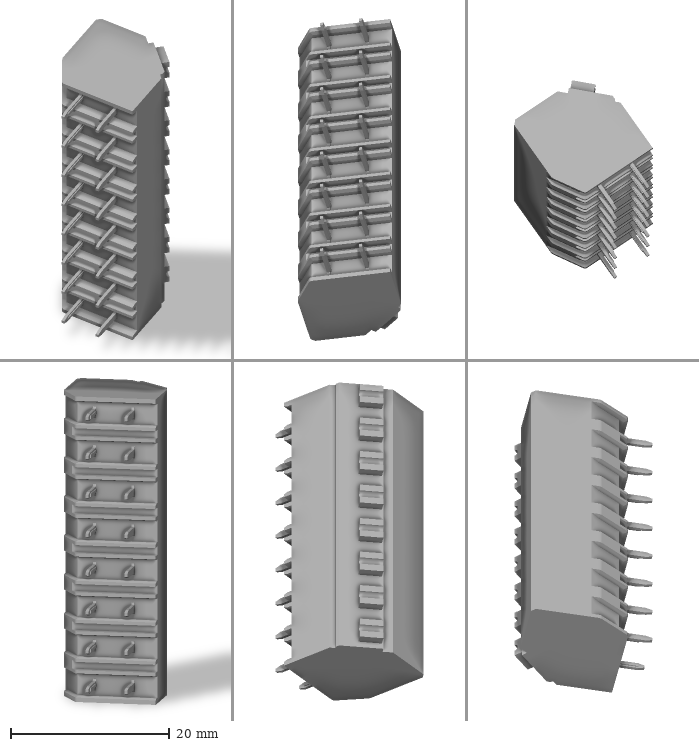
import cadquery as cq
import math


length = 39.2
depth = 12.7
height = 12.9
back_chamfer = 0.5
slant_width = 2.35
slant_height = 4.05
slant_back_radius = 0.98
slant_base_radius = 0.55
crown_width = 6.98
button_face_sum = 20.85
face_margin = 0.1
nose_x = 12.4
nose_height = 0.47
nose_undercut = 0.2
ledge_y = 7.17

pole_count = 8
end_margin = 2.1
pole_pitch = (length - 2 * end_margin) / (pole_count - 1)
floor_y = 1.18
recess_half = 1.37
lead_in_length = 0.175
lead_in_depth = 0.55
groove_length = 1.05

button_half_length = 1.35
button_top_y = 13.2
button_width = 3.0
button_rise = 1.25
thumb_groove_radius = 0.47
button_corner_x = button_face_sum - button_top_y + button_rise / math.sqrt(2)

pin_x = 4.4
pin_thickness = 0.4
pin_tip_y = -3.53
pin_taper_y = -2.7
pin_half = 0.45
pin_tip_half = 0.2
pin_root_half = 0.75
pin_root_height = 0.08
pin_flare_height = 0.2
pin_embed = 0.4
rib_height = 0.1
rib_width = 0.4

overlap = 0.4


def along_z(outline, half_length):
    """Prism with the given X-Y outline, centred on Z = 0."""
    return cq.Workplane("XY").polyline(outline).close().extrude(half_length, both=True)


def make_housing():
    """Solid block with the side outline and the slanted back corner rounded at both ends."""
    shoulder_sum = crown_width + height
    face_start_x = button_corner_x - face_margin
    valley_x = face_start_x - (button_face_sum - shoulder_sum) / 2
    nose_top = button_face_sum - nose_x
    nose_bottom = nose_top - nose_height
    ledge_x = nose_x - nose_undercut
    outline = [
        (slant_width, 0),
        (depth, 0),
        (depth, ledge_y),
        (ledge_x, ledge_y + depth - ledge_x),
        (nose_x, nose_bottom),
        (nose_x, nose_top),
        (face_start_x, button_face_sum - face_start_x),
        (valley_x, shoulder_sum - valley_x),
        (crown_width, height),
        (back_chamfer, height),
        (0, height - back_chamfer),
        (0, slant_height),
    ]
    block = along_z(outline, length / 2)
    back_edge = cq.selectors.NearestToPointSelector((0, slant_height, 0))
    base_edge = cq.selectors.NearestToPointSelector((slant_width, 0, 0))
    return block.edges(back_edge).fillet(slant_back_radius).edges(base_edge).fillet(slant_base_radius)


def make_recess_cutter():
    """Space below the recess floor, narrowed by the bevelled rims at both ends."""
    rim_half = recess_half + lead_in_length
    slope = slant_height / slant_width
    space = [
        (-overlap, floor_y + slant_height + overlap * slope),
        (slant_width, floor_y),
        (depth + overlap, floor_y),
        (depth + overlap, -overlap),
        (-overlap, -overlap),
    ]
    rim_outline = [
        (slant_width, 0),
        (2 * depth, 0),
        (2 * depth, 2 * height),
        (0, 2 * height),
        (0, slant_height),
    ]
    taper = math.degrees(math.atan(lead_in_depth / lead_in_length))
    rim = cq.Workplane("XY").polyline(rim_outline).close().extrude(lead_in_length, taper=taper)
    lower_rim = rim.translate((0, 0, -rim_half))
    return along_z(space, rim_half).cut(lower_rim).cut(lower_rim.mirror("XY"))


def make_groove_cutter():
    """Slot across the base, as deep as the recesses."""
    width = depth + 2 * overlap
    slot = cq.Workplane("XY").box(width, floor_y + overlap, groove_length, centered=(False, False, True))
    return slot.translate((-overlap, -overlap, 0))


def make_button():
    """Push button standing square on the 45 degree face, with a round groove across its top."""
    across = button_width / math.sqrt(2)
    rise = button_rise / math.sqrt(2)
    corner_y = button_face_sum - button_corner_x
    outline = [
        (button_corner_x - overlap, corner_y - overlap),
        (button_corner_x + rise, corner_y + rise),
        (button_corner_x + rise + across, corner_y + rise - across),
        (button_corner_x + across - overlap, corner_y - across - overlap),
    ]
    top_edge = (button_corner_x + rise, corner_y + rise, 0)
    groove_plane = cq.Plane(origin=top_edge, xDir=(0, 0, 1), normal=(1, -1, 0))
    thumb_groove = cq.Workplane(groove_plane).circle(thumb_groove_radius).extrude(button_width)
    return along_z(outline, button_half_length).cut(thumb_groove)


def make_pin():
    """Flat pin with its outer face on X = 0 and a stiffening rib on the +X side."""
    root_y = floor_y - pin_root_height
    shank_y = root_y - pin_flare_height
    upper_side = [
        (floor_y + pin_embed, pin_root_half),
        (root_y, pin_root_half),
        (shank_y, pin_half),
        (pin_taper_y, pin_half),
        (pin_tip_y, pin_tip_half),
    ]
    lower_side = [(y, -z) for y, z in reversed(upper_side)]
    blade = cq.Workplane("YZ").polyline(upper_side + lower_side).close().extrude(pin_thickness)
    rib_length = floor_y + pin_embed - pin_taper_y
    rib_top = pin_thickness + rib_height
    rib = cq.Workplane("XY").box(rib_top, rib_length, rib_width, centered=(False, False, True))
    return blade.union(rib.translate((0, pin_taper_y, 0)))


first_pole_z = -pole_pitch * (pole_count - 1) / 2
pole_positions = [first_pole_z + i * pole_pitch for i in range(pole_count)]

housing = make_housing()

recess_cutter = make_recess_cutter()
for pole_z in pole_positions:
    housing = housing.cut(recess_cutter.translate((0, 0, pole_z)))

groove_cutter = make_groove_cutter()
for pole_z in pole_positions[:-1]:
    housing = housing.cut(groove_cutter.translate((0, 0, pole_z + pole_pitch / 2)))

back_pin = make_pin().translate((pin_x, 0, 0))
front_pin = make_pin().mirror("YZ").translate((pin_x + pole_pitch + pin_thickness, 0, 0))
button = make_button()

result = housing
for pole_z in pole_positions:
    for feature in (back_pin, front_pin, button):
        result = result.union(feature.translate((0, 0, pole_z)))